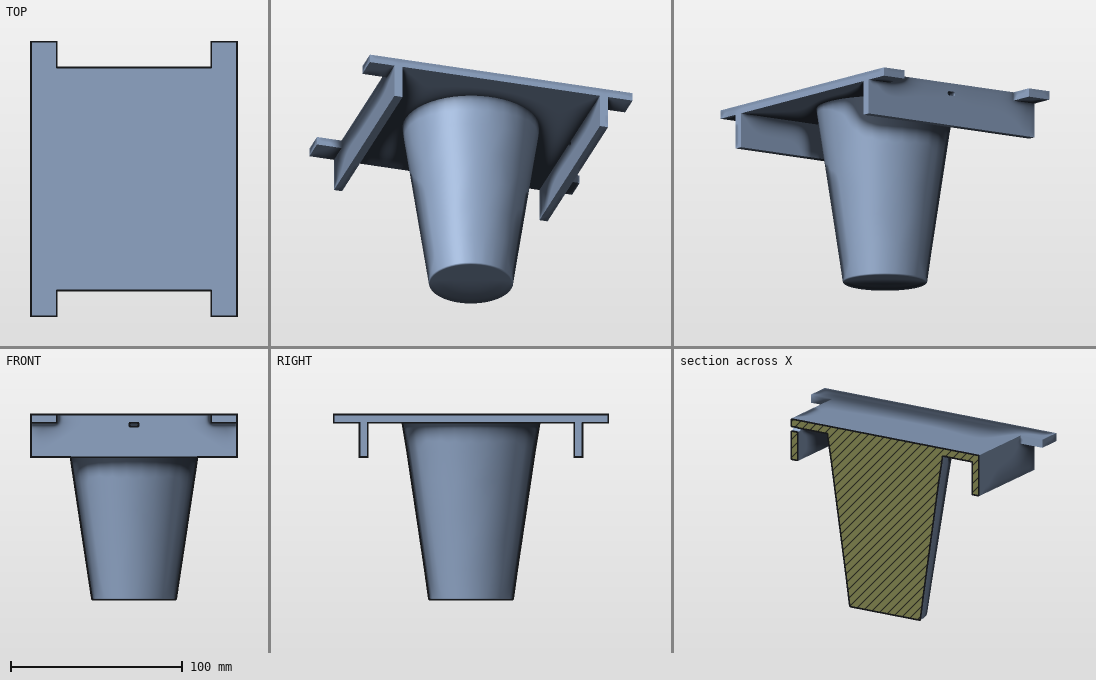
import cadquery as cq

width = 120.0
length = 160.0
plate_thickness = 5.0
tongue_width = 15.0
deck_length = 130.0
tongue_length = (length - deck_length) / 2

wall_thickness = 5.0
wall_bottom = 25.0

total_height = 108.0
body_top_radius = 40.0
body_bottom_radius = 24.5
bottom_edge_radius = 1.0

slot_length = 5.5
slot_height = 2.5
slot_drop = 6.0

notch_width = width - 2 * tongue_width
wall_outer_y = deck_length / 2


def make_plate():
    plate = cq.Workplane("XY").box(width, length, plate_thickness, centered=(True, True, False))
    notches = (
        cq.Workplane("XY")
        .pushPoints([(0, length / 2), (0, -length / 2)])
        .rect(notch_width, 2 * tongue_length)
        .extrude(plate_thickness)
    )
    return plate.cut(notches).translate((0, 0, -plate_thickness))


def make_walls():
    wall_center_y = wall_outer_y - wall_thickness / 2
    return (
        cq.Workplane("XY")
        .pushPoints([(0, wall_center_y), (0, -wall_center_y)])
        .rect(width, wall_thickness)
        .extrude(-wall_bottom)
    )


def make_body():
    body = (
        cq.Workplane("XY", origin=(0, 0, -plate_thickness))
        .circle(body_top_radius)
        .workplane(offset=plate_thickness - total_height)
        .circle(body_bottom_radius)
        .loft()
    )
    return body.faces("<Z").edges().fillet(bottom_edge_radius)


def make_slot():
    return (
        cq.Workplane("XZ", origin=(0, -wall_outer_y, -slot_drop))
        .slot2D(slot_length, slot_height)
        .extrude(-wall_thickness)
    )


result = make_plate().union(make_walls()).union(make_body()).cut(make_slot())